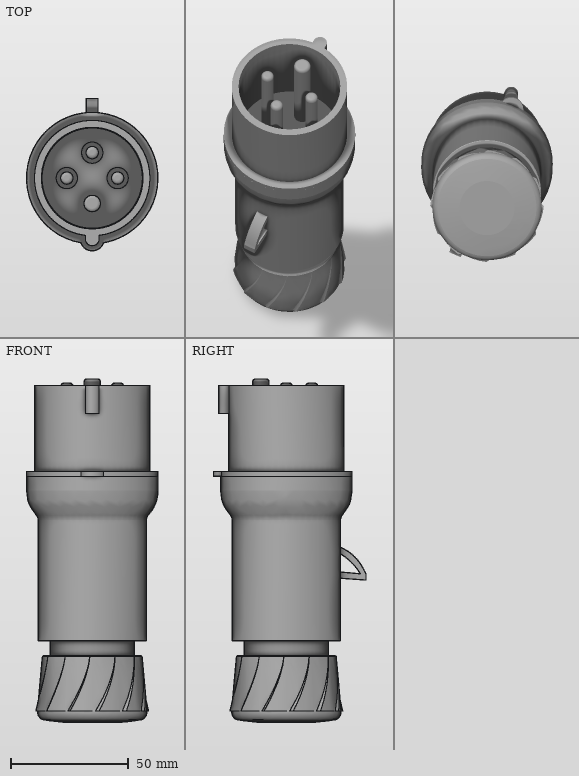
import cadquery as cq
import math

EARTH_TIP_Z = 146.2
PHASE_TIP_Z = 144.5
SHROUD_TOP_Z = 143.5
FLANGE_TOP_Z = 106.9
FLANGE_BOTTOM_Z = 104.7
SHOULDER_Z = 98.5
TUBE_BOTTOM_Z = 34.7
NUT_TOP_Z = 28.5
GRIP_BOTTOM_Z = 4.8
NUT_BOTTOM_Z = 0.0

SHROUD_R = 24.5
BORE_R = 21.6
FLANGE_R = 56.0 / 2
KEY_R = 2.9
KEY_CENTRE_Y = -25.9
KEY_LENGTH = 12.0
TAB_R = 5.1

INSERT_R = 21.3
PIN_CIRCLE_R = 10.8
EARTH_PIN_R = 3.5
EARTH_PIN_FILLET = 1.3
PHASE_PIN_R = 2.6
PHASE_PIN_FILLET = 1.5
PHASE_COLLAR_R = 4.5
EARTH_PIN_ANGLE = 270
PHASE_PIN_ANGLES = (0, 90, 180)

TUBE_R = 23.1
TUBE_END_CHAMFER = 0.3
SHOULDER_ARC_R = 14.6
TUBE_BLEND_R = 3.7
NECK_R = 18.0

NUT_TOP_R = 21.2
NUT_TOP_CHAMFER = 0.5
NUT_BASE_R = 23.2
NUT_CORNER_R = 21.0
NUT_CORNER_Z = 1.2
NUT_CORNER_BULGE = 0.7
END_FACE_R = 11.7
END_DOME_BULGE = 0.1

RIB_COUNT = 12
RIB_TOP_SPAN = 3.0
RIB_BOTTOM_SPAN = 26.5
RIB_SWEEP_POWER = 1.5
RIB_TOP_HEIGHT = 0.07
RIB_BOTTOM_HEIGHT = 0.95
RIB_FLANK_FRACTION = 0.13
RIB_ROOT_DEPTH = 1.5
RIB_SECTIONS = 5

HOOK_WIDTH = 5.1
HOOK_ROOT_Y = TUBE_R - 1.5
HOOK_TIP_Y = 33.9
HOOK_TIP_BOTTOM_Z = 60.5
HOOK_TIP_TOP_Z = 63.3
HOOK_ARM_BOTTOM_Z = 61.4
HOOK_ARM_TOP_Z = 64.2
HOOK_OUTER_START = (33.3, 64.3)
HOOK_OUTER_MIDDLE = (28.5, 71.0)
HOOK_OUTER_END_Z = 75.2
HOOK_INNER_END_Z = 72.5
HOOK_INNER_MIDDLE = (26.8, 69.0)
HOOK_INNER_CORNER = (31.5, HOOK_TIP_TOP_Z)


def cylinder(radius, bottom, top, x=0.0, y=0.0):
    return cq.Workplane("XY", origin=(x, y, bottom)).circle(radius).extrude(top - bottom)


def revolve_about_z(profile):
    """Turn a closed (radius, z) profile into a solid of revolution."""
    return profile.revolve(360, (0, 0, 0), (0, 1, 0))


def arc_bulge_point(start, end, bulge):
    """Middle point of an arc that bulges to the right of the way from start to end."""
    dx = end[0] - start[0]
    dy = end[1] - start[1]
    chord = math.hypot(dx, dy)
    mid_x = (start[0] + end[0]) / 2
    mid_y = (start[1] + end[1]) / 2
    return (mid_x + bulge * dy / chord, mid_y - bulge * dx / chord)


def make_pin(radius, tip_z, fillet, angle):
    """Round-tipped contact pin on the pin circle; angle is in degrees from +X."""
    x = PIN_CIRCLE_R * math.cos(math.radians(angle))
    y = PIN_CIRCLE_R * math.sin(math.radians(angle))
    return cylinder(radius, FLANGE_BOTTOM_Z, tip_z, x, y).faces(">Z").edges().fillet(fillet)


def make_earth_pin():
    return make_pin(EARTH_PIN_R, EARTH_TIP_Z, EARTH_PIN_FILLET, EARTH_PIN_ANGLE)


def make_phase_pin(angle):
    """Phase pin with a collar that lies flush in the insert."""
    pin = make_pin(PHASE_PIN_R, PHASE_TIP_Z, PHASE_PIN_FILLET, angle)
    foot = pin.faces("<Z").val().Center()
    return pin.union(cylinder(PHASE_COLLAR_R, FLANGE_BOTTOM_Z, FLANGE_TOP_Z, foot.x, foot.y))


def make_insert(pins):
    """Disc at the bottom of the shroud that carries the pins."""
    insert = cylinder(INSERT_R, FLANGE_BOTTOM_Z, FLANGE_TOP_Z)
    for pin in pins:
        insert = insert.cut(pin)
    return insert


def make_key():
    """Guide key on the shroud: a straight web with a rounded outer end."""
    bottom = SHROUD_TOP_Z - KEY_LENGTH
    web = (
        cq.Workplane("XY", origin=(0, KEY_CENTRE_Y, bottom))
        .box(2 * KEY_R, -KEY_CENTRE_Y, KEY_LENGTH, centered=(True, False, False))
    )
    return web.union(cylinder(KEY_R, bottom, SHROUD_TOP_Z, y=KEY_CENTRE_Y))


def make_shroud():
    flange = cylinder(FLANGE_R, FLANGE_BOTTOM_Z, FLANGE_TOP_Z)
    tab = cylinder(TAB_R, FLANGE_BOTTOM_Z, FLANGE_TOP_Z, y=KEY_CENTRE_Y)
    wall = cylinder(SHROUD_R, FLANGE_BOTTOM_Z, SHROUD_TOP_Z)
    bore = cylinder(BORE_R, FLANGE_BOTTOM_Z, SHROUD_TOP_Z)
    return flange.union(tab).union(wall).union(make_key()).cut(bore)


def make_housing():
    """Shoulder, tube and neck; the shoulder arc runs tangent into the concave tube blend."""
    arc_centre_r = FLANGE_R - SHOULDER_ARC_R
    blend_centre_r = TUBE_R + TUBE_BLEND_R
    centre_distance = SHOULDER_ARC_R + TUBE_BLEND_R
    turn = math.acos((blend_centre_r - arc_centre_r) / centre_distance)
    blend_z = SHOULDER_Z - centre_distance * math.sin(turn)

    def on_shoulder(angle):
        return (
            arc_centre_r + SHOULDER_ARC_R * math.cos(angle),
            SHOULDER_Z - SHOULDER_ARC_R * math.sin(angle),
        )

    def on_blend(angle):
        return (
            blend_centre_r - TUBE_BLEND_R * math.cos(angle),
            blend_z + TUBE_BLEND_R * math.sin(angle),
        )

    profile = (
        cq.Workplane("XZ")
        .moveTo(0, FLANGE_BOTTOM_Z)
        .lineTo(FLANGE_R, FLANGE_BOTTOM_Z)
        .lineTo(FLANGE_R, SHOULDER_Z)
        .threePointArc(on_shoulder(turn / 2), on_shoulder(turn))
        .threePointArc(on_blend(turn / 2), on_blend(0))
        .lineTo(TUBE_R, TUBE_BOTTOM_Z + TUBE_END_CHAMFER)
        .lineTo(TUBE_R - TUBE_END_CHAMFER, TUBE_BOTTOM_Z)
        .lineTo(NECK_R, TUBE_BOTTOM_Z)
        .lineTo(NECK_R, GRIP_BOTTOM_Z)
        .lineTo(0, GRIP_BOTTOM_Z)
        .close()
    )
    return revolve_about_z(profile)


def rib_section(t):
    """Rib cross-section at a fraction t of the way from the top of the grip to its bottom."""
    top_z = NUT_TOP_Z - NUT_TOP_CHAMFER
    z = top_z + t * (GRIP_BOTTOM_Z - top_z)
    surface_r = NUT_TOP_R + t * (NUT_BASE_R - NUT_TOP_R)
    growth = t**RIB_SWEEP_POWER
    foot = RIB_TOP_SPAN + growth * (RIB_BOTTOM_SPAN - RIB_TOP_SPAN)
    crest = foot * (1 - RIB_FLANK_FRACTION)
    height = RIB_TOP_HEIGHT + growth * (RIB_BOTTOM_HEIGHT - RIB_TOP_HEIGHT)
    root_r = surface_r - RIB_ROOT_DEPTH

    def polar(radius, degrees):
        """Point at an angle measured from -Y toward -X."""
        angle = math.radians(degrees)
        return (-radius * math.sin(angle), -radius * math.cos(angle))

    return (
        cq.Workplane("XY", origin=(0, 0, z))
        .moveTo(*polar(root_r, foot))
        .lineTo(*polar(surface_r, foot))
        .lineTo(*polar(surface_r + height, crest))
        .threePointArc(polar(surface_r + height / 2, crest / 2), polar(surface_r, 0))
        .lineTo(*polar(root_r, 0))
        .close()
        .val()
    )


def make_rib():
    """Grip rib with a steep flank along a curve and a ramp that dies out on a meridian."""
    sections = [rib_section(i / (RIB_SECTIONS - 1)) for i in range(RIB_SECTIONS)]
    return cq.Workplane(cq.Solid.makeLoft(sections))


def make_nut(housing):
    end_edge = (END_FACE_R, NUT_BOTTOM_Z)
    corner = (NUT_CORNER_R, NUT_CORNER_Z)
    grip_edge = (NUT_BASE_R, GRIP_BOTTOM_Z)
    profile = (
        cq.Workplane("XZ")
        .moveTo(0, NUT_BOTTOM_Z)
        .lineTo(*end_edge)
        .threePointArc(arc_bulge_point(end_edge, corner, END_DOME_BULGE), corner)
        .threePointArc(arc_bulge_point(corner, grip_edge, NUT_CORNER_BULGE), grip_edge)
        .lineTo(NUT_TOP_R, NUT_TOP_Z - NUT_TOP_CHAMFER)
        .lineTo(NUT_TOP_R - NUT_TOP_CHAMFER, NUT_TOP_Z)
        .lineTo(0, NUT_TOP_Z)
        .close()
    )
    nut = revolve_about_z(profile)
    rib = make_rib()
    for i in range(RIB_COUNT):
        nut = nut.union(rib.rotate((0, 0, 0), (0, 0, 1), i * 360 / RIB_COUNT))
    return nut.cut(housing)


def make_hook(housing):
    """Hollow latch hook on the +Y side, ending on the tube surface."""
    hook = (
        cq.Workplane("YZ")
        .moveTo(HOOK_ROOT_Y, HOOK_ARM_BOTTOM_Z)
        .lineTo(HOOK_TIP_Y, HOOK_TIP_BOTTOM_Z)
        .lineTo(HOOK_TIP_Y, HOOK_TIP_TOP_Z)
        .lineTo(*HOOK_OUTER_START)
        .threePointArc(HOOK_OUTER_MIDDLE, (HOOK_ROOT_Y, HOOK_OUTER_END_Z))
        .lineTo(HOOK_ROOT_Y, HOOK_INNER_END_Z)
        .threePointArc(HOOK_INNER_MIDDLE, HOOK_INNER_CORNER)
        .lineTo(HOOK_ROOT_Y, HOOK_ARM_TOP_Z)
        .close()
        .extrude(HOOK_WIDTH / 2, both=True)
    )
    return hook.cut(housing)


earth_pin = make_earth_pin()
phase_pins = [make_phase_pin(angle) for angle in PHASE_PIN_ANGLES]
insert = make_insert([earth_pin, *phase_pins])
shroud = make_shroud()
housing = make_housing()
nut = make_nut(housing)
hook = make_hook(housing)

result = cq.Compound.makeCompound(
    [
        shroud.val(),
        insert.val(),
        housing.val(),
        nut.val(),
        hook.val(),
        earth_pin.val(),
        *[pin.val() for pin in phase_pins],
    ]
)